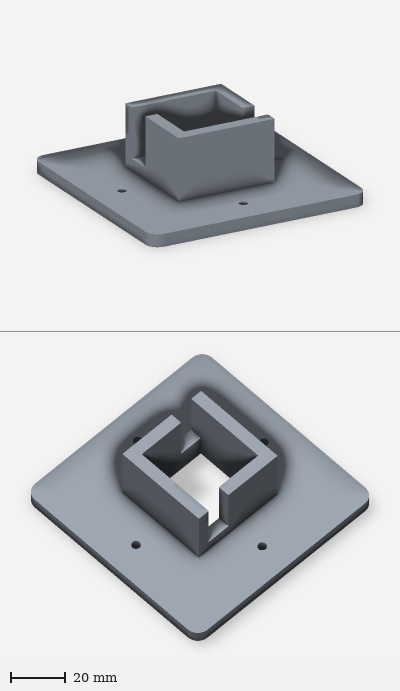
import cadquery as cq

plate_side = 90.0
plate_thickness = 5.0
corner_radius = 5.0

total_height = 30.0
opening_side = 30.0
tube_side = 40.0
wall = (tube_side - opening_side) / 2

slot_width = 10.0
slot_depth = 20.0

hole_diameter = 3.5
hole_offset = 32.5


def make_plate():
    plate = cq.Workplane("XY").rect(plate_side, plate_side).extrude(plate_thickness)
    return plate.edges("|Z").fillet(corner_radius)


def make_tube():
    return cq.Workplane("XY").rect(tube_side, tube_side).extrude(total_height)


def make_opening():
    return cq.Workplane("XY").rect(opening_side, opening_side).extrude(total_height)


def make_mounting_holes():
    centers = [(hole_offset, 0), (-hole_offset, 0), (0, hole_offset), (0, -hole_offset)]
    return cq.Workplane("XY").pushPoints(centers).circle(hole_diameter / 2).extrude(plate_thickness)


def make_slot(side):
    """Slot through the wall on the given Y side, at the end of the opening with the same X sign."""
    center_x = side * (opening_side - slot_width) / 2
    center_y = side * (opening_side + wall) / 2
    slot = cq.Workplane("XY").box(slot_width, wall, slot_depth, centered=(True, True, False))
    return slot.translate((center_x, center_y, total_height - slot_depth))


result = make_plate().union(make_tube()).cut(make_opening()).cut(make_mounting_holes())
for side in (-1, 1):
    result = result.cut(make_slot(side))